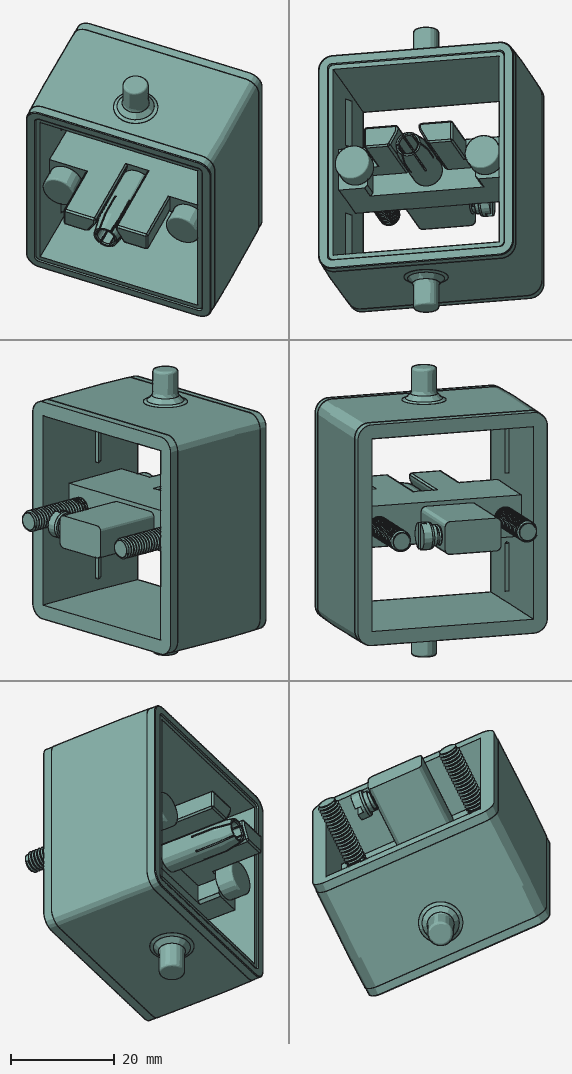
import cadquery as cq
import math


EMBED = 0.55

BODY_WIDTH = 39.0
BODY_HEIGHT = 44.0
BODY_CORNER = 2.95
BODY_DRAFT = 0.085
FRONT_Y = -8.6
BACK_Y = 17.0
RIM_DEPTH = 1.8
RIM_STEP = 0.15
FRONT_CHAMFER = 0.15

CAVITY_WIDTH = 32.95
CAVITY_HEIGHT = 38.1
CAVITY_DRAFT = 0.15
WAIST_Y = 3.1
REBATE_STEP = 0.9
REBATE_DEPTH = 0.3
REBATE_CORNER = 0.95
REBATE_DRAFT = 0.15

RAMP_RISE = 1.0
RAMP_LENGTH = 1.7
RAMP_INNER_Z = 6.95
RAMP_OUTER_Z = 16.4

PIN_TIP_Z = 28.5
PIN_RADIUS = 2.45
PIN_FILLET = 0.5
PIN_COLLAR_RADIUS = 2.6
PIN_NECK_MID_RADIUS = 2.5
PIN_COLLAR_BOTTOM_Z = 23.25
PIN_COLLAR_TOP_Z = 23.95
PIN_CONE_RADIUS = 3.6
PIN_FLARE_RADIUS = 4.3

BAR_HEIGHT = 8.3
BAR_DRAFT = 0.085
BAR_FRONT_Y = -3.9
BAR_BACK_Y = 2 * WAIST_Y - BAR_FRONT_Y
RECESS_FLOOR_Y = 0.85
RECESS_HALF_WIDTH = 10.7
RECESS_CHAMFER = 0.55

PRONG_TIP_Y = -15.05
PRONG_OUTER_X = 8.8
PRONG_INNER_X = 2.1
PRONG_BEVEL_X = 3.75
PRONG_BEVEL_Z = 2.9
PRONG_CHAMFER = 0.35

SOCKET_RADIUS = 3.0
SOCKET_TIP_RADIUS = 2.4
SOCKET_TAPER_LENGTH = 3.6
BORE_RADIUS = 1.8
BORE_MOUTH_RADIUS = 2.05
BORE_DEPTH = 8.55
BORE_POINT_ANGLE = 118
SLIT_WIDTH = 0.3
SLIT_AXES = 3

STUD_X = 12.9
STUD_TIP_Y = 24.2
STUD_HEAD_RADIUS = 3.4
STUD_HEAD_FRONT_Y = -7.6
STUD_HEAD_FILLET = 0.4
THREAD_RADIUS = 2.05
THREAD_ROOT_RADIUS = 1.7
THREAD_PITCH = 0.7
THREAD_HALF_BASE = 0.45 * THREAD_PITCH
THREAD_EMBED = 0.05

BLOCK_LEFT_X = -7.35
BLOCK_RIGHT_X = 4.05
BLOCK_HEIGHT = 6.5
BLOCK_FILLET = 1.0

SCREW_Y = 20.85
SCREW_THREAD_END_X = 5.0
SCREW_HEAD_X = 5.85
SCREW_END_X = 8.1
SCREW_HEAD_RADIUS = 2.7
SCREW_HEAD_BEVEL_LENGTH = 0.45
SCREW_HEAD_BEVEL_DEPTH = 0.15
SCREW_SLOT_WIDTH = 1.25
SCREW_SLOT_DEPTH = 1.15


def section(y):
    """Sketch plane across Y at the given station, local axes X and Z, normal -Y."""
    return cq.Workplane("XZ", origin=(0, y, 0))


def rounded_wire(y, width, height, corner):
    """Rectangle across Y, with rounded corners when `corner` is above zero."""
    slab_thickness = 0.55
    slab = section(y).rect(width, height).extrude(slab_thickness)
    if corner > 0:
        slab = slab.edges("|Y").fillet(corner)
    return slab.faces(">Y").wires().val()


def drafted_block(y_start, y_end, width, height, draft, corner=0):
    """Block from y_start to y_end that shrinks by `draft` per side on the way."""
    start = rounded_wire(y_start, width, height, corner)
    end = rounded_wire(y_end, width - 2 * draft, height - 2 * draft, corner)
    return cq.Workplane(cq.Solid.makeLoft([start, end], True))


def thread(start, direction, length):
    """Screw thread: a plain core carrying a triangular helical ridge."""
    run = length - 2 * THREAD_HALF_BASE
    core = cq.Workplane("XY").circle(THREAD_ROOT_RADIUS).extrude(length)
    path = cq.Workplane(cq.Wire.makeHelix(THREAD_PITCH, run, THREAD_ROOT_RADIUS))
    ridge = (
        cq.Workplane("XZ")
        .polyline([
            (THREAD_ROOT_RADIUS - THREAD_EMBED, -THREAD_HALF_BASE),
            (THREAD_RADIUS, 0),
            (THREAD_ROOT_RADIUS - THREAD_EMBED, THREAD_HALF_BASE),
        ])
        .close()
        .sweep(path, isFrenet=True)
        .translate((0, 0, THREAD_HALF_BASE))
    )
    plane = cq.Plane(origin=start, xDir=(0, 0, 1), normal=direction)
    return cq.Workplane(core.union(ridge).val().moved(cq.Location(plane)))


def housing():
    rim_width = BODY_WIDTH - 2 * RIM_STEP
    rim_height = BODY_HEIGHT - 2 * RIM_STEP
    shell = section(BACK_Y).rect(rim_width, rim_height).extrude(BACK_Y - FRONT_Y)
    shell = shell.edges("|Y").fillet(BODY_CORNER - RIM_STEP)
    shell = shell.faces("<Y").edges().chamfer(FRONT_CHAMFER)
    for y_end in (FRONT_Y + RIM_DEPTH, BACK_Y - RIM_DEPTH):
        shell = shell.union(drafted_block(0, y_end, BODY_WIDTH, BODY_HEIGHT, BODY_DRAFT, BODY_CORNER))
    return shell


def cavity():
    waist_width = CAVITY_WIDTH - 2 * CAVITY_DRAFT
    waist_height = CAVITY_HEIGHT - 2 * CAVITY_DRAFT
    front = drafted_block(WAIST_Y, FRONT_Y, waist_width, waist_height, -CAVITY_DRAFT)
    back = drafted_block(WAIST_Y, BACK_Y, waist_width, waist_height, -CAVITY_DRAFT)
    rebate_width = CAVITY_WIDTH + 2 * (REBATE_STEP + REBATE_DRAFT)
    rebate_height = CAVITY_HEIGHT + 2 * (REBATE_STEP + REBATE_DRAFT)
    rebate = drafted_block(FRONT_Y, FRONT_Y + REBATE_DEPTH, rebate_width, rebate_height,
                           REBATE_DRAFT, REBATE_CORNER)
    return front.union(back).union(rebate)


def latch_ramp(side, z_bottom):
    wall_x = side * CAVITY_WIDTH / 2
    crest_x = wall_x - side * RAMP_RISE
    outer_x = side * (CAVITY_WIDTH / 2 + EMBED)
    return (
        cq.Workplane("XY", origin=(0, 0, z_bottom))
        .moveTo(outer_x, WAIST_Y - RAMP_LENGTH)
        .lineTo(wall_x, WAIST_Y - RAMP_LENGTH)
        .lineTo(crest_x, WAIST_Y)
        .lineTo(outer_x, WAIST_Y)
        .close()
        .extrude(RAMP_OUTER_Z - RAMP_INNER_Z)
    )


def pivot_pin():
    """Pin along +Z whose foot flares out through a 45 degree cone."""
    surface_z = BODY_HEIGHT / 2
    root_z = surface_z - EMBED
    cone_z = PIN_COLLAR_BOTTOM_Z - (PIN_CONE_RADIUS - PIN_COLLAR_RADIUS)
    neck_mid = (PIN_NECK_MID_RADIUS, (PIN_COLLAR_BOTTOM_Z + PIN_COLLAR_TOP_Z) / 2)
    pin = (
        cq.Workplane("XZ")
        .moveTo(0, root_z)
        .lineTo(PIN_FLARE_RADIUS, root_z)
        .lineTo(PIN_FLARE_RADIUS, surface_z)
        .lineTo(PIN_CONE_RADIUS, cone_z)
        .lineTo(PIN_COLLAR_RADIUS, PIN_COLLAR_BOTTOM_Z)
        .threePointArc(neck_mid, (PIN_RADIUS, PIN_COLLAR_TOP_Z))
        .lineTo(PIN_RADIUS, PIN_TIP_Z)
        .lineTo(0, PIN_TIP_Z)
        .close()
        .revolve(360, (0, 0), (0, 1))
    )
    return pin.faces(">Z").edges().fillet(PIN_FILLET)


def crossbar():
    """Bar across the cavity with a recess around the socket, open at the bottom and front."""
    width = CAVITY_WIDTH + EMBED
    front = section(WAIST_Y).rect(width, BAR_HEIGHT).extrude(WAIST_Y - BAR_FRONT_Y)
    back = drafted_block(WAIST_Y, BAR_BACK_Y, width, BAR_HEIGHT, BAR_DRAFT)
    bottom = -BAR_HEIGHT / 2
    window_x = (PRONG_INNER_X + PRONG_OUTER_X) / 2
    half_outline = [
        (RECESS_HALF_WIDTH + RECESS_CHAMFER, bottom),
        (RECESS_HALF_WIDTH, bottom + RECESS_CHAMFER),
        (RECESS_HALF_WIDTH, 0),
        (window_x, 0),
        (window_x, BAR_HEIGHT / 2),
    ]
    outline = half_outline + [(-x, z) for x, z in reversed(half_outline)]
    recess = section(RECESS_FLOOR_Y).polyline(outline).close().extrude(RECESS_FLOOR_Y - BAR_FRONT_Y)
    return front.cut(recess).union(back)


def prong(side):
    top = BAR_HEIGHT / 2
    outline = [
        (side * PRONG_OUTER_X, 0),
        (side * PRONG_OUTER_X, top),
        (side * PRONG_INNER_X, top),
        (side * PRONG_INNER_X, PRONG_BEVEL_Z),
        (side * PRONG_BEVEL_X, 0),
    ]
    bar = section(RECESS_FLOOR_Y).polyline(outline).close().extrude(RECESS_FLOOR_Y - PRONG_TIP_Y)
    return bar.edges("|Y or <Y").chamfer(PRONG_CHAMFER)


def socket():
    """Bored contact split into six fingers by slits across its full diameter."""
    taper_y = PRONG_TIP_Y + SOCKET_TAPER_LENGTH
    mouth_y = PRONG_TIP_Y + BORE_MOUTH_RADIUS - BORE_RADIUS
    bore_y = PRONG_TIP_Y + BORE_DEPTH
    point_y = bore_y + BORE_RADIUS / math.tan(math.radians(BORE_POINT_ANGLE / 2))
    body = (
        cq.Workplane("XY")
        .polyline([
            (0, RECESS_FLOOR_Y + EMBED),
            (SOCKET_RADIUS, RECESS_FLOOR_Y + EMBED),
            (SOCKET_RADIUS, taper_y),
            (SOCKET_TIP_RADIUS, PRONG_TIP_Y),
            (BORE_MOUTH_RADIUS, PRONG_TIP_Y),
            (BORE_RADIUS, mouth_y),
            (BORE_RADIUS, bore_y),
            (0, point_y),
        ])
        .close()
        .revolve(360, (0, 0), (0, 1))
    )
    slit = section(bore_y).rect(2 * SOCKET_RADIUS + EMBED, SLIT_WIDTH).extrude(BORE_DEPTH)
    for i in range(SLIT_AXES):
        body = body.cut(slit.rotate((0, 0, 0), (0, 1, 0), i * 180 / SLIT_AXES))
    return body


def stud():
    """Head and threaded end of a stud on the Y axis; the crossbar joins the two."""
    head = section(BAR_FRONT_Y).circle(STUD_HEAD_RADIUS).extrude(BAR_FRONT_Y - STUD_HEAD_FRONT_Y)
    head = head.faces("<Y").edges().fillet(STUD_HEAD_FILLET)
    start_y = BAR_BACK_Y - EMBED
    shaft = thread((0, start_y, 0), (0, 1, 0), STUD_TIP_Y - start_y)
    return head.union(shaft)


def terminal_block():
    block = (
        section(STUD_TIP_Y)
        .center((BLOCK_LEFT_X + BLOCK_RIGHT_X) / 2, 0)
        .rect(BLOCK_RIGHT_X - BLOCK_LEFT_X, BLOCK_HEIGHT)
        .extrude(STUD_TIP_Y - BAR_BACK_Y)
    )
    return block.edges("|Y").fillet(BLOCK_FILLET)


def clamp_screw():
    start_x = BLOCK_RIGHT_X - EMBED
    shaft = thread((start_x, SCREW_Y, 0), (1, 0, 0), SCREW_THREAD_END_X - start_x)
    neck = (
        cq.Workplane("YZ", origin=(SCREW_THREAD_END_X, SCREW_Y, 0))
        .circle(THREAD_RADIUS)
        .extrude(SCREW_HEAD_X - SCREW_THREAD_END_X)
    )
    head = (
        cq.Workplane("YZ", origin=(SCREW_HEAD_X, SCREW_Y, 0))
        .circle(SCREW_HEAD_RADIUS)
        .extrude(SCREW_END_X - SCREW_HEAD_X)
        .faces("<X")
        .edges()
        .chamfer(SCREW_HEAD_BEVEL_LENGTH, SCREW_HEAD_BEVEL_DEPTH)
    )
    slot = (
        cq.Workplane("YZ", origin=(SCREW_END_X - SCREW_SLOT_DEPTH, SCREW_Y, 0))
        .rect(SCREW_SLOT_WIDTH, 2 * SCREW_HEAD_RADIUS)
        .extrude(SCREW_SLOT_DEPTH)
    )
    return shaft.union(neck).union(head.cut(slot))


result = housing().cut(cavity()).union(crossbar())
upper_pin = pivot_pin()
result = result.union(upper_pin).union(upper_pin.mirror("XY"))
result = result.union(socket()).union(terminal_block()).union(clamp_screw())
threaded_stud = stud()
for side in (-1, 1):
    for z_bottom in (RAMP_INNER_Z, -RAMP_OUTER_Z):
        result = result.union(latch_ramp(side, z_bottom))
    result = result.union(prong(side))
    result = result.union(threaded_stud.translate((side * STUD_X, 0, 0)))